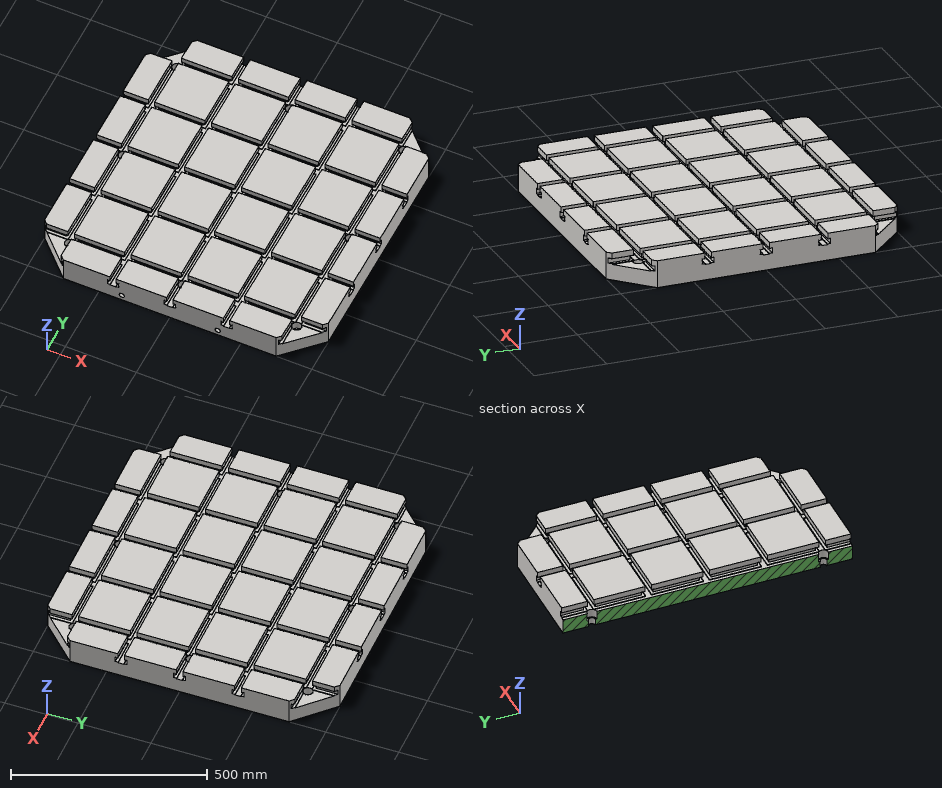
import cadquery as cq
import math

SIDE = 800.0
THICKNESS = 75.0
CORNER_CUT = 100.0

SLOT_PITCH = 160.0
SLOT_COUNT = 5
GROOVE_WIDTH = 16.0
GROOVE_DEPTH = 2.0
NECK_WIDTH_OVER_GROOVE = 2.0
NECK_DEPTH = 16.0
HEAD_WIDTH = 32.0
HEAD_HEIGHT = 14.0

BOLT_DIAMETER = 18.0
COUNTERBORE_DIAMETER = 26.0
COUNTERBORE_DEPTH = 24.0

SIDE_HOLE_DIAMETER = 14.0
SIDE_HOLE_DEPTH = 40.0
SIDE_HOLE_OFFSET = 135.0
SIDE_HOLE_HEIGHT = 18.0
DRILL_TIP_ANGLE = 118.0

HALF_SIDE = SIDE / 2
NECK_WIDTH = GROOVE_WIDTH + NECK_WIDTH_OVER_GROOVE
HEAD_TOP = THICKNESS - NECK_DEPTH
SLOT_FLOOR = HEAD_TOP - HEAD_HEIGHT
GROOVE_FLOOR = SLOT_FLOOR - GROOVE_DEPTH
OUTER_SLOT = SLOT_PITCH * (SLOT_COUNT - 1) / 2


def block(width, length, bottom, top):
    """Box centred on the Z axis between two heights."""
    base = cq.Workplane("XY", origin=(0, 0, bottom))
    return base.rect(width, length).extrude(top - bottom)


def plate():
    return block(SIDE, SIDE, 0, THICKNESS).edges("|Z").chamfer(CORNER_CUT)


def t_slot():
    """Full-length T-slot along Y, centred on X = 0."""
    neck = block(NECK_WIDTH, SIDE, SLOT_FLOOR, THICKNESS)
    head = block(HEAD_WIDTH, SIDE, SLOT_FLOOR, HEAD_TOP)
    groove = block(GROOVE_WIDTH, SIDE, GROOVE_FLOOR, SLOT_FLOOR)
    return neck.union(head).union(groove)


def corner_clearance(x_sign, y_sign):
    """Clears the corner outside the outermost slots down to the groove floor."""
    size = HALF_SIDE - OUTER_SLOT
    middle = OUTER_SLOT + size / 2
    return block(size, size, GROOVE_FLOOR, THICKNESS).translate((x_sign * middle, y_sign * middle, 0))


def bolt_hole():
    """Through hole on the Z axis, with a counterbore sunk below the groove floor."""
    bore = cq.Workplane("XY").circle(BOLT_DIAMETER / 2).extrude(THICKNESS)
    counterbore_floor = GROOVE_FLOOR - COUNTERBORE_DEPTH
    counterbore = (
        cq.Workplane("XY", origin=(0, 0, counterbore_floor))
        .circle(COUNTERBORE_DIAMETER / 2)
        .extrude(THICKNESS - counterbore_floor)
    )
    return bore.union(counterbore)


def side_hole(x):
    """Blind hole with a conical tip, drilled in +Y from the -Y side."""
    radius = SIDE_HOLE_DIAMETER / 2
    tip_length = radius / math.tan(math.radians(DRILL_TIP_ANGLE / 2))
    half_section = (
        cq.Workplane("XY")
        .lineTo(radius, 0)
        .lineTo(radius, SIDE_HOLE_DEPTH)
        .lineTo(0, SIDE_HOLE_DEPTH + tip_length)
        .close()
    )
    hole = half_section.revolve(360, (0, 0, 0), (0, 1, 0))
    return hole.translate((x, -HALF_SIDE, SIDE_HOLE_HEIGHT))


result = plate()

slot_along_y = t_slot()
slot_along_x = slot_along_y.rotate((0, 0, 0), (0, 0, 1), 90)
for index in range(SLOT_COUNT):
    position = index * SLOT_PITCH - OUTER_SLOT
    result = result.cut(slot_along_y.translate((position, 0, 0)))
    result = result.cut(slot_along_x.translate((0, position, 0)))

for x_sign in (-1, 1):
    for y_sign in (-1, 1):
        result = result.cut(corner_clearance(x_sign, y_sign))

for column in (-1, 0, 1):
    for row in (-1, 0, 1):
        if column != 0 or row != 0:
            result = result.cut(bolt_hole().translate((column * OUTER_SLOT, row * OUTER_SLOT, 0)))

for x in (-SIDE_HOLE_OFFSET, SIDE_HOLE_OFFSET):
    result = result.cut(side_hole(x))